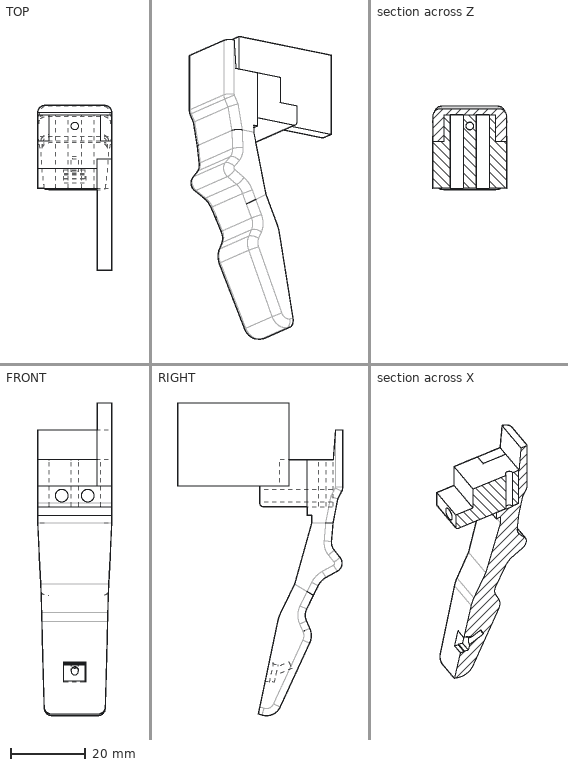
import cadquery as cq
import math


width = 20.0
cheek_thickness = 3.0
cheek_front_y = -9.65
tongue_back_y = -2.6
block_bottom_z = -12.7
shoulder_z = -7.1

plate_thickness = 4.0
plate_length = 30.0
plate_back_y = -14.5
plate_top_z = 15.3

upper_front_y = -17.0
lower_front_y = -22.4
block_edge_radius = 1.0
screw_hole_diameter = 3.4
screw_hole_spacing = 7.0
screw_hole_z = -9.7
cable_hole_diameter = 2.0
cable_hole_y = -5.6

back_fillet = 2.0
back_top_z = 8.0
lip_bottom_z = -15.0
taper_start = (-8.4, -17.0)
bend = (-13.0, -33.5)
bend_angle = 31.0
tip_front = (-22.8, -68.5)
bend_width = 18.2
tip_width = 16.3

back_corners = [
    (0, back_top_z, 0),
    (0, -8.0, 2.5),
    (-1.35, -10.6, 0),
    (-2.6, taper_start[1], 0),
    (-3.15, -23.3, 3.4),
    (1.1, -28.65, 2.5),
    (-5.9, -32.5, 5.0),
    (-10.5, -41.8, 3.8),
    (-8.0, -47.4, 4.8),
    (-18.35, -69.85, 4.1),
    (*tip_front, 0),
]
knee = (-17.3, -42.3)
knee_radius = 10.5
front_corners = [
    (*knee, knee_radius),
    (*bend, 0),
    (*taper_start, 0),
    (taper_start[0], lip_bottom_z, 0),
    (cheek_front_y, lip_bottom_z, 0),
    (cheek_front_y, 0, 0),
    (tongue_back_y, 0, 0),
    (-back_fillet, back_top_z, 0),
]

pocket_width = 6.0
pocket_height = 5.2
pocket_depth = 2.5
pocket_ledge = 0.25
pocket_ledge_depth = 1.2
pocket_z = -57.1
pocket_hole_diameter = 1.9
pocket_hole_length = 4.0
pocket_hole_rise = 35.0
pocket_hole_offset = 0.75


def box(x_range, y_range, z_range):
    """Axis-aligned box between the given limits."""
    sizes = [abs(high - low) for low, high in (x_range, y_range, z_range)]
    middle = [(low + high) / 2 for low, high in (x_range, y_range, z_range)]
    return cq.Workplane("XY").box(*sizes).translate(tuple(middle))


def rounded_path(corners):
    """Open path in the YZ plane through (y, z, radius) corners, rounded where the radius is not 0."""
    path = cq.Workplane("YZ").moveTo(*corners[0][:2])
    for before, corner, after in zip(corners, corners[1:], corners[2:]):
        radius = corner[2]
        point = cq.Vector(corner[0], corner[1])
        if radius == 0:
            path = path.lineTo(point.x, point.y)
            continue
        to_before = (cq.Vector(before[0], before[1]) - point).normalized()
        to_after = (cq.Vector(after[0], after[1]) - point).normalized()
        half_angle = to_before.getAngle(to_after) / 2
        tangent_length = radius / math.tan(half_angle)
        bisector = (to_before + to_after).normalized()
        start = point + to_before * tangent_length
        middle = point + bisector * (radius / math.sin(half_angle) - radius)
        end = point + to_after * tangent_length
        path = path.lineTo(start.x, start.y)
        path = path.threePointArc((middle.x, middle.y), (end.x, end.y))
    return path.lineTo(*corners[-1][:2])


def cross_section(point, tilt, section_width):
    """Wide rectangle across the finger, through the (y, z) point and tilted about X."""
    reach = 30.0
    plane = cq.Plane(origin=(0, *point), xDir=(1, 0, 0), normal=(0, 0, 1))
    return cq.Workplane(plane.rotated((-tilt, 0, 0))).rect(section_width, reach).val()


def stretch_envelopes():
    """Space for the finger's three stretches: full width at the top, then two tapering ones."""
    reach = 30.0
    upper = box((-width / 2, width / 2), (-reach, reach), (taper_start[1], back_top_z))
    margin = 1.0
    below_tip = (tip_front[0], tip_front[1] - margin)
    start_section = cross_section(taper_start, 0, width)
    bend_section = cross_section(bend, bend_angle, bend_width)
    tip_section = cross_section(below_tip, bend_angle, tip_width)
    middle = cq.Workplane(cq.Solid.makeLoft([start_section, bend_section], True))
    tip = cq.Workplane(cq.Solid.makeLoft([bend_section, tip_section], True))
    return upper, middle, tip


def make_plate():
    """Flat upright plate, seated in the block's +X front corner."""
    return box(
        (width / 2 - plate_thickness, width / 2),
        (plate_back_y - plate_length, plate_back_y),
        (shoulder_z, plate_top_z),
    )


def tongue():
    """The part of the block that sits between the finger's cheeks."""
    half_width = width / 2 - cheek_thickness
    return box((-half_width, half_width), (cheek_front_y, tongue_back_y), (block_bottom_z, 0))


def make_block(plate):
    """Stepped block with a tongue at its back, a seat for the plate, screw holes and a cable hole."""
    half_width = width / 2
    block = box((-half_width, half_width), (lower_front_y, cheek_front_y), (block_bottom_z, 0))
    block = block.edges("<Y and <Z").fillet(block_edge_radius)
    block = block.cut(box((-half_width, half_width), (lower_front_y, upper_front_y), (shoulder_z, 0)))
    block = block.union(tongue()).cut(plate)
    screw_holes = (
        cq.Workplane("XZ", origin=(0, 0, screw_hole_z))
        .rarray(screw_hole_spacing, 1, 2, 1)
        .circle(screw_hole_diameter / 2)
        .extrude(-lower_front_y)
    )
    cable_hole = (
        cq.Workplane("XY", origin=(0, cable_hole_y, block_bottom_z))
        .circle(cable_hole_diameter / 2)
        .extrude(-block_bottom_z)
    )
    return block.cut(screw_holes).cut(cable_hole)


def sensor_pocket():
    """Stepped pocket square to the tip's front face, with a small hole rising from its floor."""
    slope = (tip_front[0] - knee[0]) / (tip_front[1] - knee[1])
    pocket_y = knee[0] + slope * (pocket_z - knee[1])
    face = cq.Plane(origin=(0, pocket_y, pocket_z), xDir=(1, 0, 0), normal=(0, -1, slope))
    outer = cq.Workplane(face).rect(pocket_width, pocket_height).extrude(-pocket_ledge_depth)
    inner = (
        cq.Workplane(face)
        .center(-pocket_ledge / 2, 0)
        .rect(pocket_width - pocket_ledge, pocket_height - 2 * pocket_ledge)
        .extrude(-pocket_depth)
    )
    hole_plane = cq.Plane(
        origin=face.toWorldCoords((0, pocket_hole_offset, -pocket_depth)),
        xDir=(1, 0, 0),
        normal=face.zDir,
    ).rotated((pocket_hole_rise, 0, 0))
    radius = pocket_hole_diameter / 2
    mouth_length = radius * math.tan(math.radians(pocket_hole_rise))
    hole = (
        cq.Workplane(hole_plane)
        .workplane(offset=mouth_length)
        .circle(radius)
        .extrude(-mouth_length - pocket_hole_length)
    )
    return outer.union(inner).union(hole)


def round_back(stretch, back_path):
    """Round the long edges between the back and the sides of one stretch of the finger."""
    tolerance = 0.01

    def on_back_edge(edge):
        middle = edge.positionAt(0.5)
        beside_back = cq.Vertex.makeVertex(0, middle.y, middle.z)
        return abs(middle.x) > back_fillet and back_path.distance(beside_back) < tolerance

    back_edges = stretch.edges().filter(on_back_edge).vals()
    return stretch.newObject(back_edges).fillet(back_fillet)


def make_finger():
    """Curved finger with a slot for the block's tongue and a sensor pocket near its tip."""
    back_path = rounded_path(back_corners).wire().val()
    blank = rounded_path(back_corners + front_corners).close().extrude(width, both=True)
    upper, middle, tip = (
        round_back(blank.intersect(envelope), back_path) for envelope in stretch_envelopes()
    )
    finger = upper.union(middle).union(tip)
    return finger.cut(tongue()).cut(sensor_pocket())


plate = make_plate()
block = make_block(plate)
finger = make_finger()

result = cq.Compound.makeCompound([plate.val(), block.solids().val(), finger.solids().val()])